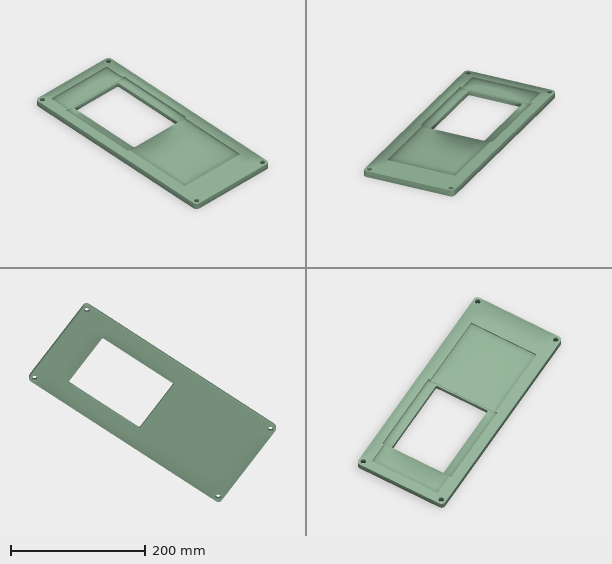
import cadquery as cq

plate_length = 350
plate_width = 150
plate_thickness = 10
plate_corner_radius = 6

hole_diameter = 8
hole_inset = 7.5

shallow_length = 290
shallow_width = 113
shallow_depth = 2.4
shallow_center_x = -15

seat_length = 135
seat_width = 119
seat_depth = 3.1
seat_center_x = -57.5

window_length = 130.5
window_width = 89.5
window_corner_radius = 2


def make_plate():
    """Flat plate standing on Z = 0 with rounded vertical corners."""
    plate = cq.Workplane("XY").box(
        plate_length, plate_width, plate_thickness, centered=(True, True, False)
    )
    return plate.edges("|Z").fillet(plate_corner_radius)


def top_block(length, width, depth, center_x):
    """Block reaching down from the top face, centred on Y = 0, for cutting a recess."""
    return (
        cq.Workplane("XY")
        .workplane(offset=plate_thickness - depth)
        .center(center_x, 0)
        .rect(length, width)
        .extrude(depth)
    )


def mounting_holes():
    """Four pins as tall as the plate on the corners of a rectangle, for cutting the holes."""
    spacing_x = plate_length - 2 * hole_inset
    spacing_y = plate_width - 2 * hole_inset
    return (
        cq.Workplane("XY")
        .rect(spacing_x, spacing_y, forConstruction=True)
        .vertices()
        .circle(hole_diameter / 2)
        .extrude(plate_thickness)
    )


shallow_pocket = top_block(shallow_length, shallow_width, shallow_depth, shallow_center_x)
seat = top_block(seat_length, seat_width, seat_depth, seat_center_x)
window = top_block(window_length, window_width, plate_thickness, seat_center_x)
window = window.edges("|Z").fillet(window_corner_radius)

result = make_plate().cut(shallow_pocket).cut(seat).cut(window).cut(mounting_holes())